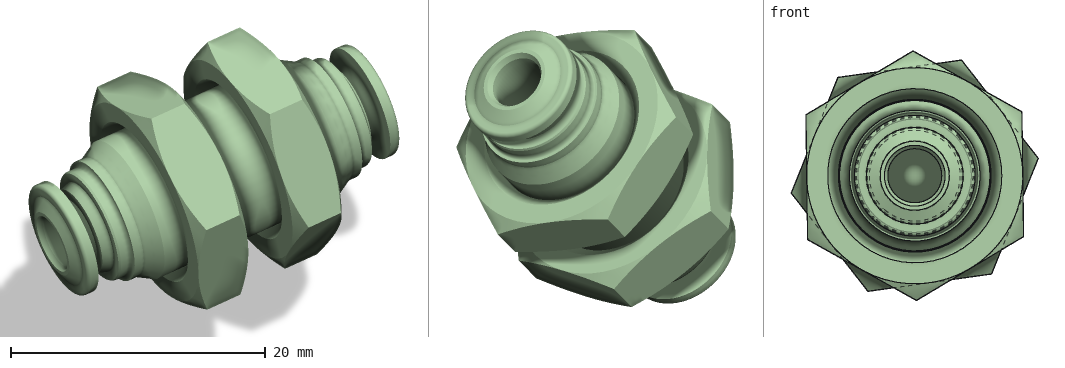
import cadquery as cq
import math

LENGTH = 29.5

LIP_RADIUS = 2.7
CONE_BASE_RADIUS = 3.8
FLANGE_FRONT = 0.53
FLANGE_BACK = 1.48
FLANGE_RADIUS = 4.75
FLANGE_EDGE_FILLET = 0.3
NECK_RADIUS = 2.75
NECK_FILLET = 0.5

SLEEVE_START = 2.5
SLEEVE_RADIUS = 3.57
SLEEVE_SLOPE = 0.3

COLLAR_START_FRONT = 3.4
COLLAR_START_BACK = 3.05
COLLAR_RADIUS = 4.65
COLLAR_CHAMFER_LENGTH = 0.18
COLLAR_CHAMFER_DEPTH = 0.1
COLLAR_FOOT_FILLET = 0.3
SHOULDER_START_FRONT = 4.55
SHOULDER_START_BACK = 4.25
SHOULDER_RADIUS = 5.13
SHOULDER_LENGTH = 0.83
BODY_CONE_LENGTH = 1.42
BODY_RADIUS = 5.93

SOCKET_MOUTH_RADIUS = 2.4
SOCKET_RADIUS = 2.12
SOCKET_TAPER_LENGTH = 0.45
SOCKET_DEPTH = 11.8

ACROSS_FLATS = 17.0
NUT_BORE_RADIUS = 6.0
NUT_BORE_CHAMFER = 0.85
NUT_CORNER_ANGLE = 30.0
HEXAGON_HALF_ANGLE = 30.0
FRONT_NUT_DISTANCE = 8.38
FRONT_NUT_THICKNESS = 4.55
UPRIGHT = 90.0
FRONT_NUT_TURN = 0.8
BACK_NUT_DISTANCE = 8.1
BACK_NUT_THICKNESS = 4.45
BACK_NUT_TURN = 8.0


def turn(outline):
    """Revolve a closed (radius, y) outline about the Y axis."""
    return outline.close().revolve(360, (0, 0, 0), (0, 1, 0))


def half_body(collar_start, shoulder_start):
    """One end of the body from its end face, at y = -LENGTH / 2, to the middle."""
    end = -LENGTH / 2
    sleeve_end_radius = SLEEVE_RADIUS + SLEEVE_SLOPE * (collar_start - SLEEVE_START)
    body_start = shoulder_start + SHOULDER_LENGTH + BODY_CONE_LENGTH
    diagonal = math.sqrt(0.5)
    edge_r = FLANGE_RADIUS - FLANGE_EDGE_FILLET
    edge_y = end + FLANGE_FRONT + FLANGE_EDGE_FILLET
    neck_r = NECK_RADIUS + NECK_FILLET
    neck_y = end + FLANGE_BACK + NECK_FILLET
    foot_r = COLLAR_RADIUS + COLLAR_FOOT_FILLET
    foot_y = end + shoulder_start - COLLAR_FOOT_FILLET
    outline = (
        cq.Workplane("XY")
        .moveTo(0, end)
        .lineTo(LIP_RADIUS, end)
        .lineTo(CONE_BASE_RADIUS, end + FLANGE_FRONT)
        .lineTo(edge_r, end + FLANGE_FRONT)
        .threePointArc(
            (edge_r + FLANGE_EDGE_FILLET * diagonal, edge_y - FLANGE_EDGE_FILLET * diagonal),
            (FLANGE_RADIUS, edge_y),
        )
        .lineTo(FLANGE_RADIUS, end + FLANGE_BACK)
        .lineTo(neck_r, end + FLANGE_BACK)
        .threePointArc(
            (neck_r - NECK_FILLET * diagonal, neck_y - NECK_FILLET * diagonal),
            (NECK_RADIUS, neck_y),
        )
        .lineTo(NECK_RADIUS, end + SLEEVE_START)
        .lineTo(SLEEVE_RADIUS, end + SLEEVE_START)
        .lineTo(sleeve_end_radius, end + collar_start)
        .lineTo(COLLAR_RADIUS - COLLAR_CHAMFER_DEPTH, end + collar_start)
        .lineTo(COLLAR_RADIUS, end + collar_start + COLLAR_CHAMFER_LENGTH)
        .lineTo(COLLAR_RADIUS, foot_y)
        .threePointArc(
            (foot_r - COLLAR_FOOT_FILLET * diagonal, foot_y + COLLAR_FOOT_FILLET * diagonal),
            (foot_r, end + shoulder_start),
        )
        .lineTo(SHOULDER_RADIUS, end + shoulder_start)
        .lineTo(SHOULDER_RADIUS, end + shoulder_start + SHOULDER_LENGTH)
        .lineTo(BODY_RADIUS, end + body_start)
        .lineTo(BODY_RADIUS, 0)
        .lineTo(0, 0)
    )
    return turn(outline).cut(tube_socket())


def tube_socket():
    """The blind tube hole that opens at y = -LENGTH / 2."""
    end = -LENGTH / 2
    return turn(
        cq.Workplane("XY")
        .moveTo(0, end)
        .lineTo(SOCKET_MOUTH_RADIUS, end)
        .lineTo(SOCKET_RADIUS, end + SOCKET_TAPER_LENGTH)
        .lineTo(SOCKET_RADIUS, end + SOCKET_DEPTH)
        .lineTo(0, end + SOCKET_DEPTH)
    )


def make_body():
    """The fitting body: two ends that differ only in how deep the collar and shoulder sit."""
    front = half_body(COLLAR_START_FRONT, SHOULDER_START_FRONT)
    back = half_body(COLLAR_START_BACK, SHOULDER_START_BACK).mirror("XZ")
    return front.union(back)


def make_nut(start_y, thickness, corner_direction):
    """A nut from start_y toward +Y, with one corner at corner_direction degrees from +X toward +Z."""
    corner_radius = ACROSS_FLATS / 2 / math.cos(math.radians(HEXAGON_HALF_ANGLE))
    hexagon = (
        cq.Workplane("XZ")
        .polygon(6, 2 * corner_radius)
        .extrude(-thickness)
        .rotate((0, 0, 0), (0, 1, 0), -corner_direction)
    )
    face_radius = ACROSS_FLATS / 2
    corner_drop = (corner_radius - face_radius) * math.tan(math.radians(NUT_CORNER_ANGLE))
    mouth_radius = NUT_BORE_RADIUS + NUT_BORE_CHAMFER
    blank = turn(
        cq.Workplane("XY")
        .moveTo(mouth_radius, 0)
        .lineTo(face_radius, 0)
        .lineTo(corner_radius, corner_drop)
        .lineTo(corner_radius, thickness - corner_drop)
        .lineTo(face_radius, thickness)
        .lineTo(mouth_radius, thickness)
        .lineTo(NUT_BORE_RADIUS, thickness - NUT_BORE_CHAMFER)
        .lineTo(NUT_BORE_RADIUS, NUT_BORE_CHAMFER)
    )
    return hexagon.intersect(blank).translate((0, start_y, 0))


body = make_body()
front_nut = make_nut(-LENGTH / 2 + FRONT_NUT_DISTANCE, FRONT_NUT_THICKNESS, UPRIGHT + FRONT_NUT_TURN)
back_nut = make_nut(
    LENGTH / 2 - BACK_NUT_DISTANCE - BACK_NUT_THICKNESS, BACK_NUT_THICKNESS, BACK_NUT_TURN
)

result = cq.Compound.makeCompound([body.val(), front_nut.val(), back_nut.val()])